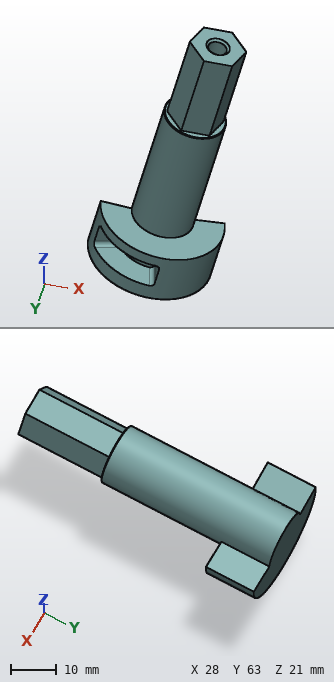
import cadquery as cq
import math

total_length = 63.0
shaft_diameter = 14.0
shaft_length = 42.0
shoulder_chamfer = 0.2
hex_length = total_length - shaft_length
hex_sides = 6
hex_across_flats = 11.0

cam_radius = shaft_diameter
cam_width = 12.0
cam_rise_angle = 5.0

pocket_width = 6.0
pocket_floor_radius = 8.0
pocket_corner_radius = 1.0
pocket_start_angle = 15.0
pocket_end_angle = 90.0
pocket_offset = 6.5

hole_diameter = 4.2
hole_depth = 10.1
hole_mouth_diameter = 5.3
drill_tip_angle = 118.0

back_y = total_length / 2
shoulder_y = back_y - shaft_length
hex_end_y = -total_length / 2


def polar(radius, degrees_below):
    """Point in the XZ plane at an angle turned from -X down toward -Z."""
    angle = math.radians(degrees_below)
    return (-radius * math.cos(angle), -radius * math.sin(angle))


def section(y):
    """Workplane across the shaft axis; it extrudes toward -Y."""
    return cq.Workplane("XZ", origin=(0, y, 0))


def make_shaft():
    shaft = section(back_y).circle(shaft_diameter / 2).extrude(shaft_length)
    return shaft.faces("<Y").edges().chamfer(shoulder_chamfer)


def make_hex():
    across_corners = hex_across_flats / math.cos(math.pi / hex_sides)
    return section(shoulder_y).polygon(hex_sides, across_corners).extrude(hex_length)


def make_cam():
    return (
        section(back_y)
        .moveTo(0, 0)
        .lineTo(*polar(cam_radius, -cam_rise_angle))
        .threePointArc(polar(cam_radius, 90), polar(cam_radius, 180 + cam_rise_angle))
        .close()
        .extrude(cam_width)
    )


def make_pocket():
    outer_radius = cam_radius + pocket_corner_radius
    middle_angle = (pocket_start_angle + pocket_end_angle) / 2
    sector = (
        section(back_y - pocket_offset + pocket_width / 2)
        .moveTo(*polar(pocket_floor_radius, pocket_start_angle))
        .lineTo(*polar(outer_radius, pocket_start_angle))
        .threePointArc(polar(outer_radius, middle_angle), polar(outer_radius, pocket_end_angle))
        .lineTo(*polar(pocket_floor_radius, pocket_end_angle))
        .threePointArc(
            polar(pocket_floor_radius, middle_angle),
            polar(pocket_floor_radius, pocket_start_angle),
        )
        .close()
        .extrude(pocket_width)
    )
    radial_corners = sector.faces(">Y or <Y").edges("%LINE")
    return radial_corners.fillet(pocket_corner_radius)


def make_hole():
    radius = hole_diameter / 2
    mouth_radius = hole_mouth_diameter / 2
    bottom_y = hex_end_y + hole_depth
    tip_height = radius / math.tan(math.radians(drill_tip_angle / 2))
    profile = [
        (0, hex_end_y),
        (mouth_radius, hex_end_y),
        (radius, hex_end_y + mouth_radius - radius),
        (radius, bottom_y),
        (0, bottom_y + tip_height),
    ]
    return cq.Workplane("XY").polyline(profile).close().revolve(360, (0, 0, 0), (0, 1, 0))


body = make_shaft().union(make_hex()).union(make_cam())
result = body.cut(make_pocket()).cut(make_hole())